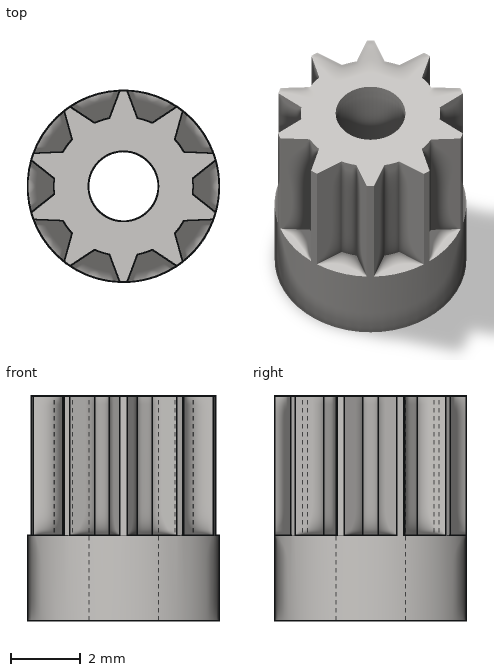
import cadquery as cq
import math

height = 6.46
outer_diameter = 5.51
bore_diameter = 2.0
collar_height = 2.46

tooth_count = 10
root_diameter = 4.0
tooth_root_width = 0.8
tooth_tip_width = 0.205

outer_radius = outer_diameter / 2
root_radius = root_diameter / 2
pitch_angle = 2 * math.pi / tooth_count
first_tooth_angle = math.pi / 2
root_half_angle = math.asin(tooth_root_width / 2 / root_radius)
tip_half_angle = math.asin(tooth_tip_width / 2 / outer_radius)


def polar(radius, angle):
    """Point at the given radius and angle about the part axis."""
    return (radius * math.cos(angle), radius * math.sin(angle))


def toothed_outline(plane):
    """Closed gear outline with arcs on the tips and roots."""
    outline = plane.moveTo(*polar(root_radius, first_tooth_angle - root_half_angle))
    for index in range(tooth_count):
        center = first_tooth_angle + index * pitch_angle
        next_flank = center + pitch_angle - root_half_angle
        outline = outline.lineTo(*polar(outer_radius, center - tip_half_angle))
        outline = outline.threePointArc(
            polar(outer_radius, center), polar(outer_radius, center + tip_half_angle)
        )
        outline = outline.lineTo(*polar(root_radius, center + root_half_angle))
        outline = outline.threePointArc(
            polar(root_radius, center + pitch_angle / 2), polar(root_radius, next_flank)
        )
    return outline.close()


collar = cq.Workplane("XY").circle(outer_radius).extrude(collar_height)
teeth = toothed_outline(cq.Workplane("XY")).extrude(height)

bore = cq.Workplane("XY").circle(bore_diameter / 2).extrude(height)

result = collar.union(teeth).cut(bore)